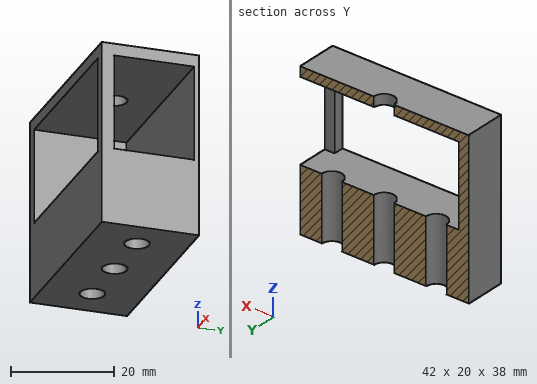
import cadquery as cq

width = 42.0
depth = 20.0
height = 38.0

frame_wall = 2.5
back_wall = 1.0
floor_height = 15.8

hole_diameter = 5.0
hole_spacing = 13.0
hole_row_offset = 0.1

cavity_height = height - frame_wall - floor_height
cavity_back = depth / 2 - back_wall


def block_between(x_range, y_range):
    """Box of the cavity height standing on the cavity floor."""
    x_start, x_end = x_range
    y_start, y_end = y_range
    return cq.Workplane("XY").box(
        x_end - x_start, y_end - y_start, cavity_height, centered=False
    ).translate((x_start, y_start, floor_height))


def front_cavity():
    """Rectangular pocket open at the front (-Y) face."""
    half_width = width / 2 - frame_wall
    return block_between((-half_width, half_width), (-depth / 2, cavity_back))


def side_opening():
    """Opening through the +X wall, leaving a corner post at the front."""
    return block_between((0, width / 2), (-depth / 2 + frame_wall, cavity_back))


def vertical_hole(x, length):
    """Round cutter rising from the underside."""
    return cq.Workplane("XY").center(x, 0).circle(hole_diameter / 2).extrude(length)


body = cq.Workplane("XY").box(width, depth, height, centered=(True, True, False))
body = body.cut(front_cavity()).cut(side_opening())

body = body.cut(vertical_hole(hole_row_offset, height))

for side in (-1, 1):
    body = body.cut(vertical_hole(hole_row_offset + side * hole_spacing, floor_height))

result = body